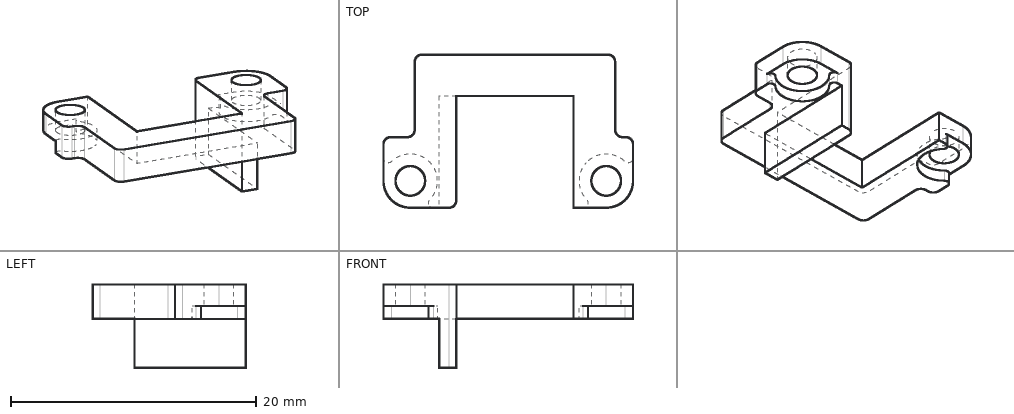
import cadquery as cq
import math

WIDTH = 20.37
DEPTH = 12.5
PLATE_THICKNESS = 2.8
WALL_DROP = 4.0
WALL_THICKNESS = 1.4

EAR_DEPTH = 5.77
LEFT_EAR_REACH = 2.55
RIGHT_EAR_REACH = 1.46
EDGE_RADIUS = 0.6

LEFT_ARM_WIDTH = 5.95
OPENING_WIDTH = 9.55
OPENING_DEPTH = 9.1

HOLE_DIAMETER = 2.4
HOLE_SPACING = 15.97
HOLE_INSET = (WIDTH - HOLE_SPACING) / 2

RECESS_RADIUS = HOLE_INSET
RECESS_HEIGHT = 1.03
RECESS_LIP_RADIUS = 0.4
CUT_MARGIN = 1.0

BODY_LEFT = LEFT_EAR_REACH
BODY_RIGHT = WIDTH - RIGHT_EAR_REACH
OPENING_LEFT = LEFT_ARM_WIDTH
OPENING_RIGHT = OPENING_LEFT + OPENING_WIDTH
FRONT_CORNER_RADIUS = HOLE_INSET
HOLE_CENTERS = [(HOLE_INSET, HOLE_INSET), (WIDTH - HOLE_INSET, HOLE_INSET)]


def round_upright_edges(body, points, radius):
    """Round the vertical edges that pass through the given XY points."""
    reach = 0.01
    for x, y in points:
        finder = cq.selectors.BoxSelector(
            (x - reach, y - reach, -PLATE_THICKNESS - WALL_DROP),
            (x + reach, y + reach, PLATE_THICKNESS + WALL_DROP),
        )
        body = body.edges("|Z").edges(finder).fillet(radius)
    return body


def make_plate():
    """U-shaped plate with an ear on each arm."""
    outline = [
        (0, 0),
        (OPENING_LEFT, 0),
        (OPENING_LEFT, OPENING_DEPTH),
        (OPENING_RIGHT, OPENING_DEPTH),
        (OPENING_RIGHT, 0),
        (WIDTH, 0),
        (WIDTH, EAR_DEPTH),
        (BODY_RIGHT, EAR_DEPTH),
        (BODY_RIGHT, DEPTH),
        (BODY_LEFT, DEPTH),
        (BODY_LEFT, EAR_DEPTH),
        (0, EAR_DEPTH),
    ]
    plate = cq.Workplane("XY").polyline(outline).close().extrude(PLATE_THICKNESS)
    small_corners = [
        (WIDTH, EAR_DEPTH),
        (BODY_RIGHT, EAR_DEPTH),
        (BODY_RIGHT, DEPTH),
        (BODY_LEFT, DEPTH),
        (BODY_LEFT, EAR_DEPTH),
        (0, EAR_DEPTH),
    ]
    plate = round_upright_edges(plate, small_corners, EDGE_RADIUS)
    return round_upright_edges(plate, [(0, 0), (WIDTH, 0)], FRONT_CORNER_RADIUS)


def make_wall():
    """Wall hanging below the left side of the opening."""
    return (
        cq.Workplane("XY")
        .box(WALL_THICKNESS, OPENING_DEPTH, WALL_DROP, centered=False)
        .translate((OPENING_LEFT - WALL_THICKNESS, 0, -WALL_DROP))
    )


def make_left_recess():
    """Round recess around the left hole, open to the side and front with rounded lips."""
    center = HOLE_INSET
    lip_center = HOLE_INSET - RECESS_LIP_RADIUS
    lip_along = math.sqrt((RECESS_RADIUS + RECESS_LIP_RADIUS) ** 2 - lip_center**2)
    lip_end = center + lip_along
    blend_angle = math.atan2(lip_along, -lip_center)
    blend = (
        center + RECESS_RADIUS * math.cos(blend_angle),
        center + RECESS_RADIUS * math.sin(blend_angle),
    )
    lip_mid_angle = math.pi + blend_angle / 2
    lip_mid = (
        RECESS_LIP_RADIUS * (1 + math.cos(lip_mid_angle)),
        lip_end + RECESS_LIP_RADIUS * math.sin(lip_mid_angle),
    )
    far_side = center + RECESS_RADIUS * math.sqrt(0.5)
    return (
        cq.Workplane("XY")
        .moveTo(-CUT_MARGIN, -CUT_MARGIN)
        .lineTo(-CUT_MARGIN, lip_end)
        .lineTo(0, lip_end)
        .threePointArc(lip_mid, blend)
        .threePointArc((far_side, far_side), blend[::-1])
        .threePointArc(lip_mid[::-1], (lip_end, 0))
        .lineTo(lip_end, -CUT_MARGIN)
        .close()
        .extrude(RECESS_HEIGHT)
    )


def make_holes():
    """Screw holes through both ears."""
    return cq.Workplane("XY").pushPoints(HOLE_CENTERS).circle(HOLE_DIAMETER / 2).extrude(PLATE_THICKNESS)


left_recess = make_left_recess()
right_recess = left_recess.mirror("YZ").translate((WIDTH, 0, 0))

bracket = make_plate().union(make_wall())
bracket = round_upright_edges(bracket, [(OPENING_LEFT, 0)], EDGE_RADIUS)
result = bracket.cut(left_recess).cut(right_recess).cut(make_holes())